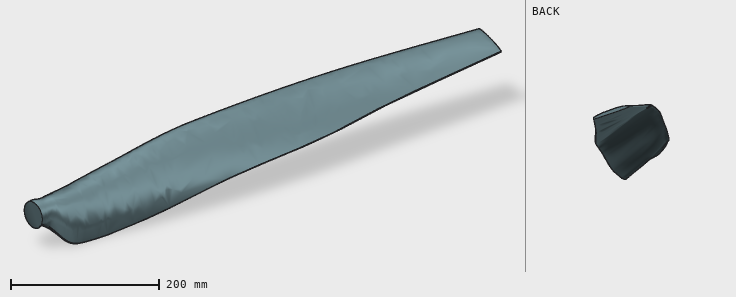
import cadquery as cq
import math


blade_length = 762
shank_radius = 19.0
shank_length = 11.5
shank_flat_half_angle = 4
nose_angle = 130

trailing_edge_thickness = 2.0
nose_exponent = 0.4
tail_exponent = 0.7
points_per_side = 8

stations = [
    (27.5, (-22.0, 2.0), (27.5, -33.0), 32.0, 7.0),
    (41.0, (-23.5, 4.5), (32.0, -43.5), 34.0, 4.0),
    (64.0, (-25.0, 6.0), (33.5, -48.0), 33.5, 2.0),
    (82.0, (-24.0, 10.0), (36.0, -48.0), 30.5, 1.5),
    (133.0, (-22.0, 19.0), (46.0, -41.0), 24.0, 1.5),
    (193.0, (-17.5, 31.0), (54.0, -31.0), 20.0, 1.5),
    (238.5, (-14.5, 39.5), (59.5, -22.0), 16.0, 1.5),
    (302.0, (-9.0, 46.5), (66.0, -11.0), 12.0, 1.5),
    (394.5, (-4.0, 50.0), (72.0, -2.0), 9.0, 1.0),
    (522.5, (1.5, 50.0), (73.0, 11.0), 7.0, 1.0),
    (651.0, (14.0, 49.5), (74.0, 23.5), 5.0, 1.0),
    (blade_length, (28.0, 49.5), (76.0, 33.5), 4.0, 1.0),
]


def bulge(t):
    """Height of one side at chord fraction t, scaled to a peak of 1."""
    peak_t = nose_exponent / (nose_exponent + tail_exponent)
    peak = peak_t**nose_exponent * (1 - peak_t) ** tail_exponent
    return t**nose_exponent * (1 - t) ** tail_exponent / peak


def section_wire(surface_points):
    """Close a section: one curve around the nose and a straight blunt trailing edge."""
    steps = list(range(len(surface_points)))
    surface = cq.Edge.makeSpline(surface_points, parameters=steps)
    blunt_edge = cq.Edge.makeLine(surface_points[-1], surface_points[0])
    return cq.Wire.assembleEdges([surface, blunt_edge])


def airfoil_wire(y, leading, trailing, upper_height, lower_depth):
    """Airfoil section, from its upper trailing corner around the nose to the lower one."""
    chord_x = trailing[0] - leading[0]
    chord_z = trailing[1] - leading[1]
    chord = math.hypot(chord_x, chord_z)
    points = []
    for i in range(-points_per_side, points_per_side + 1):
        t = 1 - math.cos(i * math.pi / 2 / points_per_side)
        half_wedge = t * trailing_edge_thickness / 2
        if i < 0:
            height = upper_height * bulge(t) + half_wedge
        else:
            height = -lower_depth * bulge(t) - half_wedge
        x = leading[0] + t * chord_x - height * chord_z / chord
        z = leading[1] + t * chord_z + height * chord_x / chord
        points.append(cq.Vector(x, y, z))
    return section_wire(points)


def shank_wire(y):
    """Round section with a narrow flat facing the trailing edge."""
    sweep = 180 - shank_flat_half_angle
    points = []
    for i in range(-points_per_side, points_per_side + 1):
        angle = math.radians(nose_angle + sweep * i / points_per_side)
        points.append(cq.Vector(shank_radius * math.cos(angle), y, shank_radius * math.sin(angle)))
    return section_wire(points)


sections = [shank_wire(0), shank_wire(shank_length)]
sections += [airfoil_wire(*station) for station in stations]
blade = cq.occ_impl.shapes.loft(sections, cap=True, parametrization="chordal", continuity="C1")
result = cq.Workplane(blade)